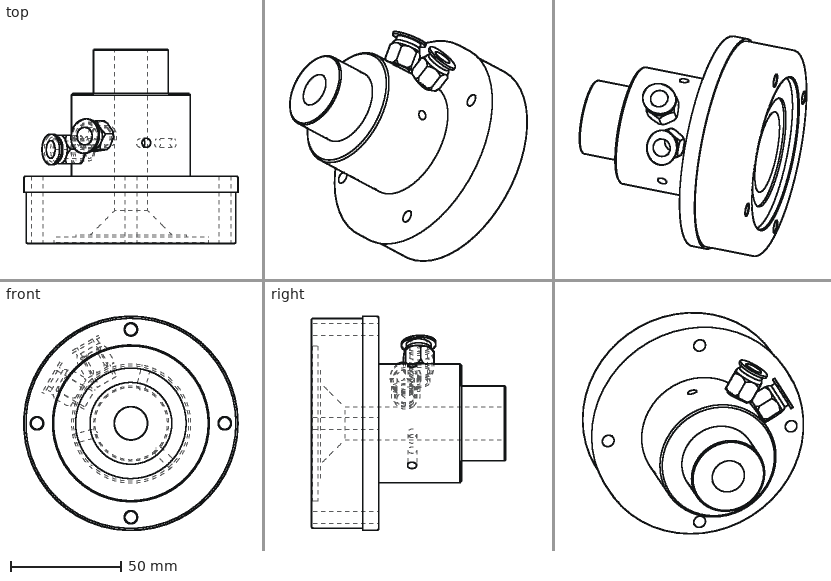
import cadquery as cq
import math

FRONT_RADIUS = 47.5
FLANGE_RADIUS = 48.5
COLLAR_RADIUS = 27.0
SPIGOT_RADIUS = 17.0
FLANGE_START = 23.2
FLANGE_END = 30.6
COLLAR_END = 68.0
HOUSING_LENGTH = 88.0
EDGE_ROUNDING = 1.0
COLLAR_CHAMFER = 0.9
SPIGOT_CHAMFER = 0.6

RECESS_RADIUS = 35.0
RECESS_DEPTH = 3.0
RECESS_CHAMFER = 0.5
STEP_RADIUS = 25.0
STEP_DEPTH = 1.0
FUNNEL_RADIUS = 18.5
BORE_RADIUS = 7.5
FUNNEL_FLOOR = RECESS_DEPTH + STEP_DEPTH
FUNNEL_END = FUNNEL_FLOOR + FUNNEL_RADIUS - BORE_RADIUS

BOLT_COUNT = 4
BOLT_CIRCLE_RADIUS = 42.5
BOLT_HOLE_DIAMETER = 5.4
BOLT_HOLE_CHAMFER = 0.3

DRILL_PLANE_Y = 45.6
DRILL_ANGLES = [75, 195, 315]
DRILL_RADIUS = 2.0
DRILL_DEPTH = 10.0
DRILL_POINT_ANGLE = 118
CUT_OVERRUN = 1.0

FITTING_OFFSET = 3.0
FITTING_PLACES = [(120, FITTING_OFFSET, 67.5), (150, -FITTING_OFFSET, 0)]
FITTING_SEAT = 27.6
FITTING_HEIGHT = 14.3
TUBE_RADIUS = 4.0
RING_LONG_RADIUS = 8.0
RING_SHORT_RADIUS = 7.0
RING_THICKNESS = 1.1
NECK_RADIUS = 5.7
NECK_BOTTOM = 11.2
HEX_FLATS = 13.0
SLEEVE_RADIUS = HEX_FLATS / 2
HEX_CORNER_RADIUS = HEX_FLATS / math.sqrt(3)
HEX_TURN = 30
HEX_TOP = 9.4
HEX_TOP_BEVEL = 1.3
HEX_BASE_RADIUS = 6.9
HEX_BASE_BEVEL = 1.65
STEM_RADIUS = 5.0
STEM_LENGTH = 5.8


def radial_plane(angle, y, distance, spin=0):
    """Plane facing outwards at a distance from the Y axis; at zero spin its x direction is +Y."""
    turn = math.radians(angle)
    roll = math.radians(spin)
    outward = cq.Vector(math.cos(turn), 0, math.sin(turn))
    tangent = cq.Vector(-math.sin(turn), 0, math.cos(turn))
    x_direction = cq.Vector(0, math.cos(roll), 0) + tangent * math.sin(roll)
    return cq.Plane(origin=outward * distance + cq.Vector(0, y, 0), xDir=x_direction, normal=outward)


def housing_body():
    """Solid of revolution: outer steps, front recess, funnel and through bore."""
    outline = (
        cq.Workplane("XY")
        .moveTo(BORE_RADIUS, FUNNEL_END)
        .lineTo(FUNNEL_RADIUS, FUNNEL_FLOOR)
        .lineTo(STEP_RADIUS, FUNNEL_FLOOR)
        .lineTo(STEP_RADIUS, RECESS_DEPTH)
        .lineTo(RECESS_RADIUS, RECESS_DEPTH)
        .lineTo(RECESS_RADIUS, RECESS_CHAMFER)
        .lineTo(RECESS_RADIUS + RECESS_CHAMFER, 0)
        .lineTo(FRONT_RADIUS - EDGE_ROUNDING, 0)
        .tangentArcPoint((EDGE_ROUNDING, EDGE_ROUNDING))
        .lineTo(FRONT_RADIUS, FLANGE_START)
        .lineTo(FLANGE_RADIUS, FLANGE_START)
        .lineTo(FLANGE_RADIUS, FLANGE_END - EDGE_ROUNDING)
        .tangentArcPoint((-EDGE_ROUNDING, EDGE_ROUNDING))
        .lineTo(COLLAR_RADIUS, FLANGE_END)
        .lineTo(COLLAR_RADIUS, COLLAR_END - COLLAR_CHAMFER)
        .lineTo(COLLAR_RADIUS - COLLAR_CHAMFER, COLLAR_END)
        .lineTo(SPIGOT_RADIUS, COLLAR_END)
        .lineTo(SPIGOT_RADIUS, HOUSING_LENGTH - SPIGOT_CHAMFER)
        .lineTo(SPIGOT_RADIUS - SPIGOT_CHAMFER, HOUSING_LENGTH)
        .lineTo(BORE_RADIUS, HOUSING_LENGTH)
        .close()
    )
    return outline.revolve(360, (0, 0, 0), (0, 1, 0))


def bolt_holes():
    """Cutters for the bolt holes, with a small countersink at the front face."""
    hole_radius = BOLT_HOLE_DIAMETER / 2
    profile = [
        (0, 0),
        (hole_radius + BOLT_HOLE_CHAMFER, 0),
        (hole_radius, BOLT_HOLE_CHAMFER),
        (hole_radius, FLANGE_END),
        (0, FLANGE_END),
    ]
    cutter = cq.Workplane("XY").polyline(profile).close().revolve(360, (0, 0, 0), (0, 1, 0))
    cutters = cq.Workplane("XY")
    for index in range(BOLT_COUNT):
        placed = cutter.translate((BOLT_CIRCLE_RADIUS, 0, 0))
        cutters = cutters.add(placed.rotate((0, 0, 0), (0, 1, 0), index * 360 / BOLT_COUNT))
    return cutters.combine()


def drilled_hole(angle):
    """Cutter for one radial hole that ends in a drill point."""
    floor = COLLAR_RADIUS - DRILL_DEPTH
    point_length = DRILL_RADIUS / math.tan(math.radians(DRILL_POINT_ANGLE / 2))
    profile = [
        (0, floor - point_length),
        (DRILL_RADIUS, floor),
        (DRILL_RADIUS, COLLAR_RADIUS + CUT_OVERRUN),
        (0, COLLAR_RADIUS + CUT_OVERRUN),
    ]
    cutter = cq.Workplane("XZ").polyline(profile).close().revolve(360, (0, 0, 0), (0, 1, 0))
    return cutter.val().moved(cq.Location(radial_plane(angle, DRILL_PLANE_Y, 0)))


def fitting_plane(angle, y_offset, spin):
    """Seat of a fitting: centre of the underside of its hexagon."""
    return radial_plane(angle, DRILL_PLANE_Y + y_offset, FITTING_SEAT, spin)


def fitting_port(place):
    """Cutter for the blind port that holds the stem of a fitting."""
    port = cq.Workplane(fitting_plane(*place)).circle(STEM_RADIUS).extrude(-STEM_LENGTH)
    return port.val()


def hexagon():
    """Hexagon whose corners are bevelled at both ends."""
    prism = cq.Workplane("XY").polygon(6, 2 * HEX_CORNER_RADIUS).extrude(HEX_TOP)
    prism = prism.rotate((0, 0, 0), (0, 0, 1), HEX_TURN)
    bevel_profile = [
        (0, 0),
        (HEX_BASE_RADIUS, 0),
        (HEX_CORNER_RADIUS, HEX_BASE_BEVEL),
        (HEX_CORNER_RADIUS, HEX_TOP - HEX_TOP_BEVEL),
        (SLEEVE_RADIUS, HEX_TOP),
        (0, HEX_TOP),
    ]
    bevels = cq.Workplane("XZ").polyline(bevel_profile).close().revolve(360, (0, 0, 0), (0, 1, 0))
    return prism.intersect(bevels)


def fitting(place):
    """Tube fitting: stem, hexagon, rounded sleeve, neck and oval release ring, bored right through."""
    sleeve = (
        cq.Workplane("XZ")
        .lineTo(SLEEVE_RADIUS, 0)
        .lineTo(SLEEVE_RADIUS, HEX_TOP)
        .tangentArcPoint((NECK_RADIUS, NECK_BOTTOM), relative=False)
        .lineTo(0, NECK_BOTTOM)
        .close()
        .revolve(360, (0, 0, 0), (0, 1, 0))
    )
    neck = cq.Workplane("XY").circle(NECK_RADIUS).extrude(FITTING_HEIGHT)
    ring = (
        cq.Workplane("XY")
        .workplane(offset=FITTING_HEIGHT)
        .ellipse(RING_SHORT_RADIUS, RING_LONG_RADIUS)
        .extrude(-RING_THICKNESS)
    )
    stem = cq.Workplane("XY").circle(STEM_RADIUS).extrude(-STEM_LENGTH)
    bore = (
        cq.Workplane("XY")
        .workplane(offset=-STEM_LENGTH)
        .circle(TUBE_RADIUS)
        .extrude(STEM_LENGTH + FITTING_HEIGHT)
    )
    body = hexagon().union(sleeve).union(neck).union(ring).union(stem).cut(bore)
    return body.val().moved(cq.Location(fitting_plane(*place)))


housing = housing_body().cut(bolt_holes())
for drill_angle in DRILL_ANGLES:
    housing = housing.cut(cq.Workplane(drilled_hole(drill_angle)))
for fitting_place in FITTING_PLACES:
    housing = housing.cut(cq.Workplane(fitting_port(fitting_place)))

fittings = [fitting(fitting_place) for fitting_place in FITTING_PLACES]

result = cq.Compound.makeCompound([housing.val(), *fittings])